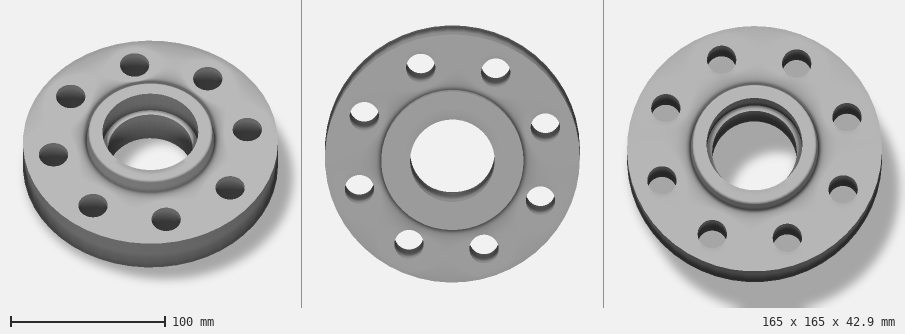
import cadquery as cq
import math

raised_face_height = 6.5
flange_thickness = 25.5
total_height = 42.9
flange_top = raised_face_height + flange_thickness
hub_height = total_height - flange_top

flange_diameter = 165.0
raised_face_diameter = 92.1
hub_base_diameter = 83.8
bore_diameter = 54.8
socket_diameter = 62.0

hub_draft_angle = 10.0
hub_fillet_radius = 1.7
socket_depth = 17.7

bolt_hole_count = 8
bolt_hole_diameter = 19.0
bolt_circle_diameter = 127.1


def disc(diameter, bottom, height):
    """Vertical cylinder on the Z axis, starting at the given height."""
    return cq.Workplane("XY").workplane(offset=bottom).circle(diameter / 2).extrude(height)


def flange_body():
    """Revolved solid blank: raised face, flange plate and tapered hub."""
    hub_base_radius = hub_base_diameter / 2
    hub_top_radius = hub_base_radius - hub_height * math.tan(math.radians(hub_draft_angle))
    half_section = (
        cq.Workplane("XZ")
        .moveTo(0, 0)
        .lineTo(raised_face_diameter / 2, 0)
        .lineTo(raised_face_diameter / 2, raised_face_height)
        .lineTo(flange_diameter / 2, raised_face_height)
        .lineTo(flange_diameter / 2, flange_top)
        .lineTo(hub_base_radius, flange_top)
        .lineTo(hub_top_radius, total_height)
        .lineTo(0, total_height)
        .close()
    )
    return half_section.revolve(360, (0, 0), (0, 1))


def round_hub(body):
    """Round the hub's top rim and blend its foot into the flange."""
    return body.faces("%CONE").edges("%CIRCLE").fillet(hub_fillet_radius)


def bolt_holes():
    """Through-hole cutters equally spaced on the bolt circle, the first on +X."""
    return (
        cq.Workplane("XY")
        .workplane(offset=raised_face_height)
        .polarArray(bolt_circle_diameter / 2, 0, 360, bolt_hole_count)
        .circle(bolt_hole_diameter / 2)
        .extrude(flange_thickness)
    )


bore = disc(bore_diameter, 0, total_height)
pipe_socket = disc(socket_diameter, total_height - socket_depth, socket_depth)

result = round_hub(flange_body()).cut(bore).cut(pipe_socket).cut(bolt_holes())